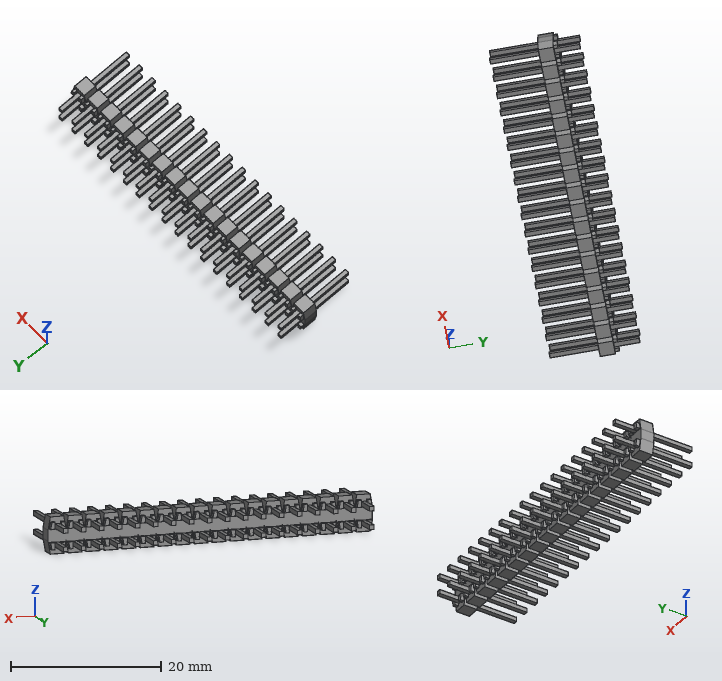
import cadquery as cq

pins_per_row = 18
overall_length = 45.7
pitch = overall_length / pins_per_row

body_depth = 2.05
body_height = 2 * pitch
taper_width = 0.3
taper_height = 1.8

pin_size = 0.65
pin_front_length = 6.68
pin_rear_length = 3.45

pad_depth = 0.55
pad_inner_z = 0.9
pad_outer_z = 1.87
pad_inset = 0.16
pad_gap = 0.9

body_half_height = body_height / 2
shoulder_z = body_half_height - taper_height
body_rear_y = body_depth / 2
columns = [(i - (pins_per_row - 1) / 2) * pitch for i in range(pins_per_row)]
row_heights = [-pitch / 2, pitch / 2]


def segment_half_width(z):
    """Half width of a body segment at a height z on its upper taper."""
    return pitch / 2 - taper_width * (z - shoulder_z) / taper_height


def extrude_along_y(outline, start_y, depth):
    """Extrude a closed XZ outline from start_y toward +Y."""
    plane = cq.Workplane("XZ", origin=(0, start_y, 0))
    return plane.polyline(outline).close().extrude(-depth)


def make_segment():
    """Eight-sided body segment around one pair of pins."""
    top = body_half_height
    wide = pitch / 2
    narrow = wide - taper_width
    outline = [
        (-narrow, top), (narrow, top), (wide, shoulder_z), (wide, -shoulder_z),
        (narrow, -top), (-narrow, -top), (-wide, -shoulder_z), (-wide, shoulder_z),
    ]
    return extrude_along_y(outline, -body_rear_y, body_depth)


def make_pads():
    """Upper and lower stand-off pads of one segment, each on both sides of the pin."""
    outer_x = segment_half_width(pad_outer_z) - pad_inset
    inner_x = segment_half_width(pad_inner_z) - pad_inset
    gap_x = pad_gap / 2
    outline = [
        (gap_x, pad_outer_z), (outer_x, pad_outer_z),
        (inner_x, pad_inner_z), (gap_x, pad_inner_z),
    ]
    upper_right = extrude_along_y(outline, body_rear_y, pad_depth)
    upper = upper_right.union(upper_right.mirror("YZ"))
    return upper.union(upper.mirror("XY"))


def make_pin(z):
    """One square pin passing through the body."""
    length = pin_front_length + body_depth + pin_rear_length
    pin = cq.Workplane("XY").box(pin_size, length, pin_size, centered=(True, False, True))
    return pin.translate((0, -body_rear_y - pin_front_length, z))


column = make_segment().union(make_pads())
for row_z in row_heights:
    column = column.union(make_pin(row_z))

result = cq.Workplane("XY")
for column_x in columns:
    result = result.union(column.translate((column_x, 0, 0)))